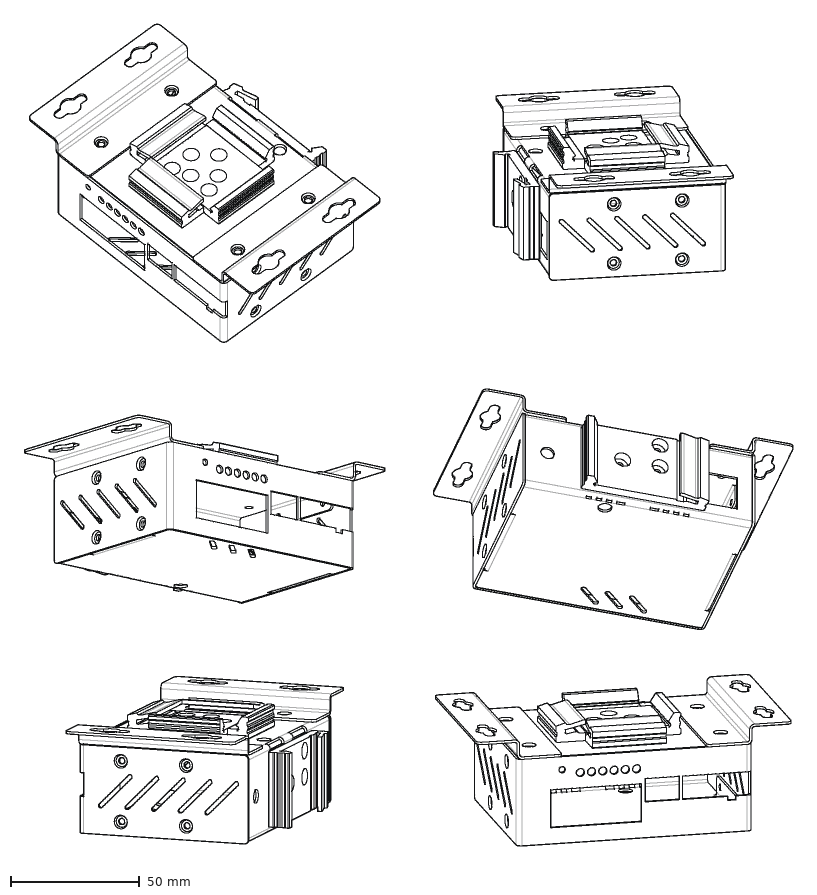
import cadquery as cq
import math

sheet = 1.0
bend_outer = 2.0
bend_inner = bend_outer - sheet

width = 94.0
depth = 70.0
height = 35.0
half_width = width / 2
half_inside = half_width - sheet
mid_y = depth / 2
mid_z = height / 2
wall_corner_radius = 1.5

csk_large = 5.4
csk_small = 4.5
tapped_diameter = 2.5
insert_diameter = 3.1

side_screw_ys = (17.4, 44.4)
side_screw_rise = 12.0
vent_count = 5
vent_pitch = 11.0
vent_mid_y = 37.1
vent_width = 1.7
vent_reach = 12.2

port_left, port_right = -33.5, 2.7
port_low, port_high = 6.6, 21.9
window_low, window_high = 14.5, 23.9
middle_left, middle_right = 4.3, 18.0
corner_left = 19.2
key_left, key_right = 37.3, 40.6
key_depth = 1.6
light_count = 6
light_pitch = 4.5
light_diameter = 3.2
first_light_x = -21.7
light_z = 28.1
reset_diameter = 2.5
reset_x, reset_z = -29.0, 29.7

front_gap = 0.3
cover_back = 69.65
cover_front = sheet + front_gap
flange_front, flange_back = 12.3, 49.7
flange_height = 9.0
flange_corner_radius = 1.5
access_x, access_y = 12.0, 63.9
back_hole_x, back_hole_z = 36.9, 17.2
back_port_left, back_port_right = -40.0, -24.6
rim_slot_inner, rim_slot_outer = 5.15, 20.8
rim_slot_drop = 2.5
tooth_count = 3
tooth_width = 2.06
tooth_pitch = 2 * tooth_width
tooth_start = 8.45
floor_vent_count = 3
floor_vent_pitch = 9.8
floor_vent_first_x = -14.4
floor_vent_width = 2.0
floor_vent_front, floor_vent_back = 5.0, 12.0

bracket_half_span = 63.0
bracket_inner_edge = 29.0
bracket_rise = 8.0
bracket_outer_radius = 2.0
bracket_inner_radius = 1.5
fixing_rise = 19.0
bracket_screw_x = 38.3
keyhole_x = 55.5
keyhole_circle = 8.0
keyhole_slot_width = 4.0
keyhole_length = 16.0

clip_length = 50.0
clip_height = 8.85
clip_width = 29.5
clip_floor = 3.9
clip_recess_floor = 3.2
clip_foot_chamfer = 0.4
clip_groove = 0.45
clip_centre = 26.6
clip_hole_diameter = 6.4
mount_hole_diameter = 2.7
clip_hole_pitch = 7.6
clip_third_hole = 10.3
lap_height = clip_floor / 2

groove_low, groove_high = 2.2, 4.4
shoulder_height = 6.6
crest_along, crest_height = 3.8, 7.7
neck_start, neck_end, neck_height = 4.5, 5.6, 6.9
arm_top_start, arm_tip = 10.7, 12.0
arm_top, arm_bottom = 8.3, 6.7
slit_end, slit_top, slit_bottom = 3.85, 4.9, 3.5
bump_start, bump_peak, bump_end = 4.3, 8.3, 9.4
recess_end = 12.2

pocket_start, pocket_end = 4.7, 3.9
pocket_height = 3.1
barb_root, barb_root_height = 4.2, 4.7
barb_tip, barb_height = 5.1, 5.3
hook_top_start, hook_top_end = 2.8, 0.4
hook_side_low, hook_side_high = 7.2, 8.4
upper_groove_low, upper_groove_high = 5.6, 6.7
rib_low, rib_high, rib_inset = 4.2, 5.0, 0.2
lower_groove_low, lower_groove_high = 2.6, 3.5


def block(x0, x1, y0, y1, z0, z1):
    """Box between two opposite corners."""
    return cq.Workplane("XY").box(x1 - x0, y1 - y0, z1 - z0, centered=False).translate((x0, y0, z0))


def drill(x, y, z, diameter, direction, length):
    """Cylinder starting at a point and running along a direction."""
    return cq.Workplane(obj=cq.Solid.makeCylinder(
        diameter / 2, length, cq.Vector(x, y, z), cq.Vector(*direction)))


def countersink(x, y, z, direction):
    """Shallow cone through one sheet, wide at the given outer point."""
    return cq.Workplane(obj=cq.Solid.makeCone(
        csk_large / 2, csk_small / 2, sheet, cq.Vector(x, y, z), cq.Vector(*direction)))


def side_screw_points():
    """(Y, Z) places of the four screws in each side."""
    return [(y, mid_z + rise) for y in side_screw_ys for rise in (-side_screw_rise, side_screw_rise)]


def front_openings():
    """Port, windows and indicator holes of the front wall."""
    through = (-sheet, 2 * sheet)
    cuts = block(port_left, port_right, *through, port_low, port_high)
    cuts = cuts.union(block(middle_left, middle_right, *through, window_low, window_high))
    cuts = cuts.union(block(corner_left, half_width, -sheet, bend_outer, window_low, window_high))
    cuts = cuts.union(block(key_left, key_right, *through, window_low - key_depth, window_low))
    for i in range(light_count):
        x = first_light_x + i * light_pitch
        cuts = cuts.union(drill(x, 0, light_z, light_diameter, (0, 1, 0), sheet))
    return cuts.union(drill(reset_x, 0, reset_z, reset_diameter, (0, 1, 0), sheet))


def side_vents():
    """Slanted slots running straight through both side walls."""
    length = math.hypot(vent_reach, vent_reach) + vent_width
    first_y = -(vent_count - 1) / 2 * vent_pitch
    points = [(first_y + i * vent_pitch, 0) for i in range(vent_count)]
    return (
        cq.Workplane("YZ", origin=(-width, vent_mid_y, mid_z))
        .pushPoints(points)
        .slot2D(length, vent_width, 45)
        .extrude(2 * width)
    )


def make_housing():
    """Front wall with two side walls, bent from one sheet."""
    outside = block(-half_width, half_width, 0, depth, 0, height).edges("|Z and <Y").fillet(bend_outer)
    inside = (
        block(-half_inside, half_inside, sheet, depth + bend_outer, 0, height)
        .edges("|Z and <Y").fillet(bend_inner)
    )
    body = outside.cut(inside)
    body = body.edges("|X and >Y").fillet(wall_corner_radius)
    body = body.cut(front_openings()).cut(side_vents())
    for side in (-1, 1):
        for y, z in side_screw_points():
            body = body.cut(countersink(side * half_width, y, z, (-side, 0, 0)))
    return body


def cover_channel():
    """Top, back and floor as one bent channel."""
    overall = 2 * half_inside
    outside = (
        block(-half_inside, half_inside, cover_front, cover_back, 0, height)
        .edges("|X and >Y").fillet(bend_outer)
    )
    inside = (
        block(-overall, overall, 0, cover_back - sheet, sheet, height - sheet)
        .edges("|X and >Y").fillet(bend_inner)
    )
    return outside.cut(inside).edges("|Z and <Y").fillet(bend_inner)


def cover_flange():
    """Side flange at the floor on the +X side, including its bend."""
    bend_x = half_inside - bend_outer
    diagonal = math.sqrt(0.5)
    outer_mid = (bend_x + bend_outer * diagonal, bend_outer - bend_outer * diagonal)
    inner_mid = (bend_x + bend_inner * diagonal, bend_outer - bend_inner * diagonal)
    flange = (
        cq.Workplane("XZ", origin=(0, flange_back, 0))
        .moveTo(bend_x, 0)
        .threePointArc(outer_mid, (half_inside, bend_outer))
        .lineTo(half_inside, flange_height)
        .lineTo(half_inside - sheet, flange_height)
        .lineTo(half_inside - sheet, bend_outer)
        .threePointArc(inner_mid, (bend_x, sheet))
        .close()
        .extrude(flange_back - flange_front)
    )
    return flange.edges("|X and >Z").fillet(flange_corner_radius)


def rim_openings(side):
    """Slot in the top back bend, and the toothed opening in the floor bend below it."""
    left, right = sorted((side * rim_slot_inner, side * rim_slot_outer))
    bend_start = cover_back - bend_outer
    slot = block(left, right, bend_start, depth, height - rim_slot_drop, height)
    opening = block(left, right, bend_start, cover_back - sheet, 0, bend_outer)
    for i in range(tooth_count):
        inner = tooth_start + i * tooth_pitch
        near, far = sorted((side * inner, side * (inner + tooth_width)))
        opening = opening.cut(block(near, far, bend_start, depth, 0, bend_outer))
    return slot.union(opening)


def floor_vents():
    """Slanted slots through the floor, near the front."""
    reach = floor_vent_back - floor_vent_front
    length = math.hypot(reach, reach) + floor_vent_width
    points = [(floor_vent_first_x - reach / 2 + i * floor_vent_pitch, 0) for i in range(floor_vent_count)]
    return (
        cq.Workplane("XY", origin=(0, (floor_vent_front + floor_vent_back) / 2, 0))
        .pushPoints(points)
        .slot2D(length, floor_vent_width, 45)
        .extrude(sheet)
    )


def back_openings():
    """Port, round hole and clip mounting holes of the back."""
    cuts = block(back_port_left, back_port_right, cover_back - sheet, cover_back, port_low, port_high)
    cuts = cuts.union(drill(back_hole_x, cover_back, back_hole_z, csk_large, (0, -1, 0), sheet))
    for x, drop in clip_hole_points():
        cuts = cuts.union(drill(x, cover_back, mid_z - drop, mount_hole_diameter, (0, -1, 0), sheet))
    return cuts


def make_cover():
    """Top, back and floor with side flanges, inside the housing."""
    body = cover_channel()
    floor_flange = cover_flange()
    top_flange = floor_flange.mirror("XY", (0, 0, mid_z))
    for side in (-1, 1):
        near, far = sorted((side * (half_inside - bend_outer), side * half_inside))
        body = body.cut(block(near, far, flange_front, flange_back, 0, height))
        for flange in (floor_flange, top_flange):
            body = body.union(flange if side > 0 else flange.mirror("YZ"))
        for y, z in side_screw_points():
            body = body.cut(drill(side * half_inside, y, z, tapped_diameter, (-side, 0, 0), sheet))
        for rise in (-fixing_rise, fixing_rise):
            body = body.cut(drill(
                side * bracket_screw_x, mid_y + rise, height, insert_diameter, (0, 0, -1), sheet))
        body = body.cut(rim_openings(side))
    body = body.cut(floor_vents()).cut(back_openings())
    body = body.cut(countersink(access_x, access_y, height, (0, 0, -1)))
    return body.cut(drill(access_x, access_y, 0, csk_large, (0, 0, 1), sheet))


def bend_edge(x, z):
    """Selects the bracket edge that runs along Y at the given place."""
    reach = sheet / 10
    return cq.selectors.BoxSelector((x - reach, 0, z - reach), (x + reach, depth, z + reach))


def keyhole(y, top):
    """Slot with a larger circle at its middle."""
    slot = (
        cq.Workplane("XY", origin=(keyhole_x, y, top - sheet))
        .slot2D(keyhole_length, keyhole_slot_width, 90)
        .extrude(sheet)
    )
    return slot.union(drill(keyhole_x, y, top, keyhole_circle, (0, 0, -1), sheet))


def make_bracket(side):
    """Z-bent bracket: the lower flange is screwed to the cover, the raised one has keyholes."""
    top = height + bracket_rise
    lower = block(bracket_inner_edge, half_width, 0, depth, height, height + sheet)
    web = block(half_inside, half_width, 0, depth, height, top)
    upper = block(half_inside, bracket_half_span, 0, depth, top - sheet, top)
    body = lower.union(web).union(upper).clean()
    body = body.edges(bend_edge(half_width, height)).fillet(bend_outer)
    body = body.edges(bend_edge(half_inside, height + sheet)).fillet(bend_inner)
    body = body.edges(bend_edge(half_inside, top)).fillet(bend_outer)
    body = body.edges(bend_edge(half_width, top - sheet)).fillet(bend_inner)
    body = body.edges("|Z and >X").fillet(bracket_outer_radius)
    body = body.edges("|Z and <X").fillet(bracket_inner_radius)
    for rise in (-fixing_rise, fixing_rise):
        y = mid_y + rise
        body = body.cut(countersink(bracket_screw_x, y, height + sheet, (0, 0, -1)))
        body = body.cut(keyhole(y, top))
    return body if side > 0 else body.mirror("YZ")


def clip_hole_points():
    """Three holes in the clip floor, from the middle of the clip."""
    return [(-clip_hole_pitch, 0), (clip_hole_pitch, 0), (-clip_hole_pitch, -clip_third_hole)]


def clip_holes():
    """Cylinders at the hole places, through the clip floor."""
    holes = cq.Workplane("XY")
    for x, y in clip_hole_points():
        holes = holes.union(drill(x, y, 0, clip_hole_diameter, (0, 0, 1), clip_floor))
    return holes


def clip_outline():
    """Clip section as (along, up) points: up the spring end, over the floor, down the hook end."""
    spring_end = [
        (clip_foot_chamfer, 0),
        (0, clip_foot_chamfer),
        (0, groove_low),
        (clip_groove, groove_low + clip_groove),
        (clip_groove, groove_high - clip_groove),
        (0, groove_high),
        (0, shoulder_height),
        (crest_along, crest_height),
        (neck_start, neck_height),
        (neck_end, neck_height),
    ]
    spring_arm = [
        (arm_top_start, arm_top),
        (arm_tip, arm_top),
        (arm_tip, arm_bottom),
        (slit_end, slit_top),
        (slit_end, slit_bottom),
    ]
    floor = [
        (bump_start, clip_recess_floor),
        (bump_peak, clip_floor),
        (bump_end, clip_recess_floor),
        (recess_end, clip_recess_floor),
        (recess_end, clip_floor),
        (clip_length - pocket_start, clip_floor),
        (clip_length - pocket_start, pocket_height),
        (clip_length - pocket_end, clip_floor),
    ]
    hook = [
        (clip_length - barb_root, barb_root_height),
        (clip_length - barb_tip, barb_height),
        (clip_length - hook_top_start, clip_height),
        (clip_length - hook_top_end, clip_height),
    ]
    hook_side = [
        (clip_length, hook_side_high),
        (clip_length, hook_side_low),
        (clip_length - clip_groove, upper_groove_high),
        (clip_length - clip_groove, upper_groove_low),
        (clip_length - rib_inset, rib_high),
        (clip_length - rib_inset, rib_low),
        (clip_length - clip_groove, lower_groove_high),
        (clip_length - clip_groove, lower_groove_low),
        (clip_length, groove_low),
        (clip_length, clip_foot_chamfer),
        (clip_length - clip_foot_chamfer, 0),
    ]
    points = spring_end + spring_arm + floor + hook + hook_side
    return [(along - clip_centre, up) for along, up in points]


def plain_clip():
    """Clip without holes, lying along X on the XY plane with its middle at the origin."""
    return (
        cq.Workplane("XZ", origin=(0, clip_width / 2, 0))
        .polyline(clip_outline())
        .close()
        .extrude(clip_width)
    )


def quarter_turn(body):
    """Turns a body from along X to along Y."""
    return body.rotate((0, 0, 0), (0, 0, 1), 90)


def make_back_clip():
    """Clip standing on the back of the cover."""
    clip = plain_clip().cut(clip_holes())
    return clip.rotate((0, 0, 0), (1, 0, 0), -90).translate((0, cover_back, mid_z))


def crossing_layer(low, high):
    """Part of the square where the two top clips cross, between two heights."""
    half = clip_width / 2
    return block(-half, half, -half, half, low, high)


def crossing_plugs():
    """The hole places of both top clips, filled by the lower clip."""
    return clip_holes().union(quarter_turn(clip_holes()))


def make_cross_clip():
    """Top clip along X, the upper half of the lap joint."""
    clip = plain_clip().cut(crossing_layer(0, lap_height)).cut(crossing_plugs())
    return clip.translate((0, mid_y, height))


def make_long_clip():
    """Top clip along Y, the lower half of the lap joint, with plugs up to the floor of the other."""
    clip = quarter_turn(plain_clip()).cut(crossing_layer(lap_height, clip_height)).union(crossing_plugs())
    return clip.translate((0, mid_y, height))


housing = make_housing()
cover = make_cover()
brackets = [make_bracket(side) for side in (-1, 1)]
back_clip = make_back_clip()
cross_clip = make_cross_clip()
long_clip = make_long_clip()

result = cq.Compound.makeCompound([
    housing.val(),
    cover.val(),
    *[bracket.val() for bracket in brackets],
    back_clip.val(),
    cross_clip.val(),
    long_clip.val(),
])